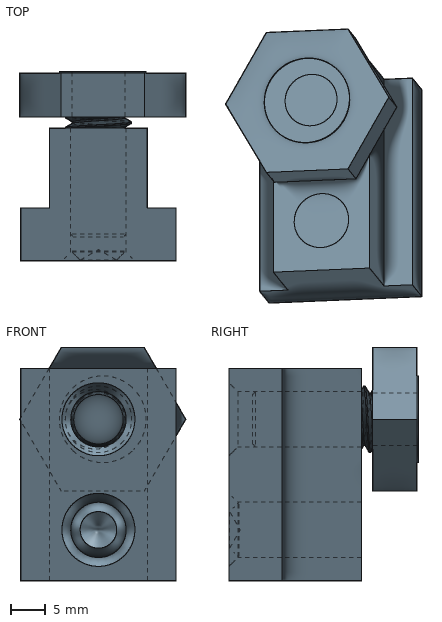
import cadquery as cq
import math

block_width = 22.3
block_height = 30.48
block_thickness = 19.05
flange_thickness = 7.62
stem_width = 14.05

hole_spacing = 15.875
bore_diameter = 7.95
countersink_diameter = 10.48
countersink_depth = (countersink_diameter - bore_diameter) / 2
lower_hole_z = (block_height - hole_spacing) / 2
upper_hole_z = lower_hole_z + hole_spacing

total_thickness = 27.21
nut_corner_width = 23.83
nut_thickness = 6.33
washer_face_diameter = 12.45
washer_face_height = 0.25
nut_offset = 0.62
nut_front_y = total_thickness - washer_face_height - nut_thickness
nut_back_y = nut_front_y + nut_thickness

thread_diameter = 9.525
thread_pitch = 1.5875
thread_root_diameter = 7.58
thread_flank_angle = 30
crest_width = thread_pitch / 8
stud_tip_depth = 3.4
stud_tip_diameter = 7.1
stud_tip_chamfer = (bore_diameter - stud_tip_diameter) / 2

set_screw_tip_depth = 0.1
set_screw_tip_diameter = 5.25
set_screw_taper = (bore_diameter - set_screw_tip_diameter) / 2
cup_angle = 120
cup_depth = set_screw_tip_diameter / 2 / math.tan(math.radians(cup_angle / 2))


def cylinder(diameter, start_y, end_y, z, x=0):
    """Round bar along +Y between two Y positions."""
    return cq.Workplane(
        cq.Solid.makeCylinder(diameter / 2, end_y - start_y, cq.Vector(x, start_y, z), cq.Vector(0, 1, 0))
    )


def cone(start_diameter, end_diameter, start_y, end_y, z):
    """Tapered bar along +Y between two Y positions."""
    return cq.Workplane(
        cq.Solid.makeCone(
            start_diameter / 2, end_diameter / 2, end_y - start_y, cq.Vector(0, start_y, z), cq.Vector(0, 1, 0)
        )
    )


def make_block():
    flange = cq.Workplane().box(block_width, flange_thickness, block_height, centered=(True, False, False))
    stem = cq.Workplane().box(stem_width, block_thickness, block_height, centered=(True, False, False))
    block = flange.union(stem)
    for hole_z in (lower_hole_z, upper_hole_z):
        block = block.cut(cylinder(bore_diameter, 0, block_thickness, hole_z))
        block = block.cut(cone(countersink_diameter, bore_diameter, 0, countersink_depth, hole_z))
    return block


def make_nut():
    hexagon = (
        cq.Workplane("XZ", origin=(nut_offset, nut_front_y, upper_hole_z))
        .polygon(6, nut_corner_width)
        .extrude(-nut_thickness)
    )
    washer_face = cylinder(washer_face_diameter, nut_back_y, total_thickness, upper_hole_z, nut_offset)
    stud_bore = cylinder(thread_root_diameter, nut_front_y, total_thickness, upper_hole_z)
    return hexagon.union(washer_face).cut(stud_bore)


def make_thread():
    """Helical ridge around the stud, trimmed to the gap between block and nut."""
    root_radius = thread_root_diameter / 2
    crest_radius = thread_diameter / 2
    embed = 0.05
    inner_radius = root_radius - embed
    half_crest = crest_width / 2
    half_base = half_crest + (crest_radius - inner_radius) * math.tan(math.radians(thread_flank_angle))
    lead_turns = 2
    helix = cq.Wire.makeHelix(thread_pitch, 2 * lead_turns * thread_pitch, root_radius)
    ridge = (
        cq.Workplane("XZ")
        .polyline(
            [
                (inner_radius, -half_base),
                (crest_radius, -half_crest),
                (crest_radius, half_crest),
                (inner_radius, half_base),
            ]
        )
        .close()
        .sweep(cq.Workplane(helix), isFrenet=True)
    )
    start_y = block_thickness - lead_turns * thread_pitch
    ridge = (
        ridge.rotate((0, 0, 0), (0, 0, 1), 180)
        .rotate((0, 0, 0), (1, 0, 0), -90)
        .translate((0, start_y, upper_hole_z))
    )
    gap = cylinder(nut_corner_width, block_thickness, nut_front_y, upper_hole_z)
    return ridge.intersect(gap)


def make_stud():
    shoulder_y = stud_tip_depth + stud_tip_chamfer
    tip = cone(stud_tip_diameter, bore_diameter, stud_tip_depth, shoulder_y, upper_hole_z)
    shank = cylinder(bore_diameter, shoulder_y, block_thickness, upper_hole_z)
    core = cylinder(thread_root_diameter, block_thickness, total_thickness, upper_hole_z)
    return tip.union(shank).union(core).union(make_thread())


def make_set_screw():
    shoulder_y = set_screw_tip_depth + set_screw_taper
    tip = cone(set_screw_tip_diameter, bore_diameter, set_screw_tip_depth, shoulder_y, lower_hole_z)
    shank = cylinder(bore_diameter, shoulder_y, block_thickness, lower_hole_z)
    cup = cone(set_screw_tip_diameter, 0, set_screw_tip_depth, set_screw_tip_depth + cup_depth, lower_hole_z)
    return tip.union(shank).cut(cup)


block = make_block()
nut = make_nut()
stud = make_stud()
set_screw = make_set_screw()

bodies = [block, nut, stud, set_screw]
result = cq.Compound.makeCompound([body.solids().val() for body in bodies])